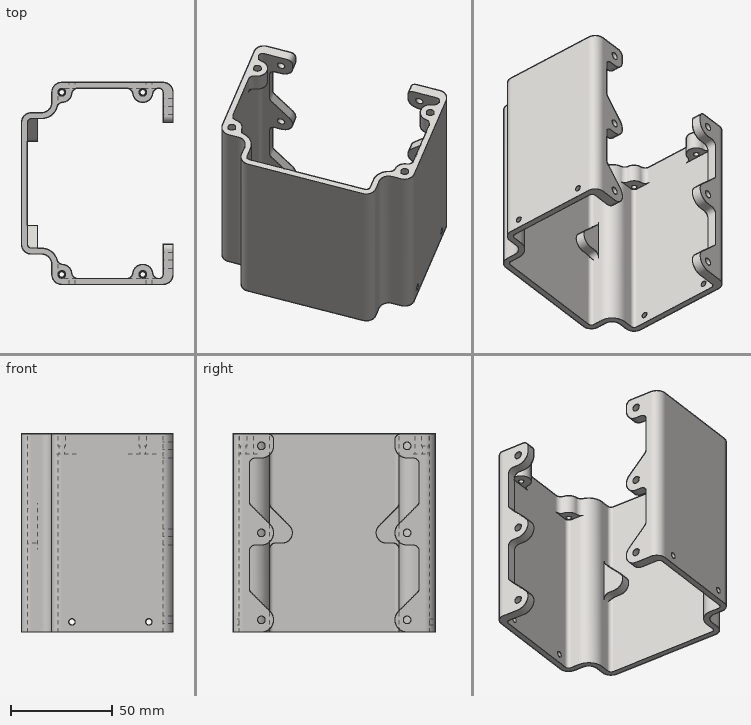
import cadquery as cq
import math

LENGTH = 75.0
HALF_WIDTH = 50.0
HEIGHT = 98.0
WALL = 3.0
STEP = 15.0
OUTER_RADIUS = 5.0
INNER_RADIUS = OUTER_RADIUS - WALL
STEP_INNER_RADIUS = OUTER_RADIUS + WALL
SHOULDER_Y = HALF_WIDTH - STEP
SIDE_INNER_Y = HALF_WIDTH - WALL
SHOULDER_INNER_Y = SHOULDER_Y - WALL

DIAGONAL = math.sqrt(0.5)
BLEND_TANGENT = math.tan(math.pi / 8)

LIP_THICKNESS = 5.0
LIP_INNER_X = LENGTH - LIP_THICKNESS
LIP_EDGE_Y = 42.0

BOSS_RADIUS = 5.0
BOSS_HEIGHT = 10.0
BOSS_BLEND_RADIUS = 3.0
BOSS_Y = HALF_WIDTH - OUTER_RADIUS
CORNER_BOSS_X = STEP + OUTER_RADIUS
WALL_BOSS_X = 60.0
INSERT_DIAMETER = 3.8
INSERT_DEPTH = 6.0
PILOT_DIAMETER = 2.7

TAB_TIP_Y = 30.0
TAB_RADIUS = 6.0
TAB_CORNER_RADIUS = 3.0
TAB_HOLE_DIAMETER = 3.8
TAB_BLEND_RADIUS = 3.0
TAB_HOLE_Y = TAB_TIP_Y + TAB_RADIUS
TOP_TAB_Z = HEIGHT - TAB_RADIUS
MIDDLE_TAB_Z = HEIGHT / 2
BOTTOM_TAB_Z = TAB_RADIUS

PAD_THICKNESS = 5.0
PAD_TIP_Y = 20.7
PAD_RADIUS = 5.0
PAD_BLEND_RADIUS = 3.0
PAD_Z = HEIGHT / 2

SIDE_HOLE_DIAMETER = 3.0
SIDE_HOLE_Z = 5.0
SIDE_HOLE_INSET = 7.0
SIDE_HOLE_XS = (STEP + WALL + SIDE_HOLE_INSET, LIP_INNER_X - SIDE_HOLE_INSET)


def wall_half(bottom_z, height):
    """The +Y half of the shell wall between two heights."""
    r_out = OUTER_RADIUS
    r_in = INNER_RADIUS
    r_step = STEP_INNER_RADIUS
    step_inner_x = STEP + WALL
    return (
        cq.Workplane("XY", origin=(0, 0, bottom_z))
        .moveTo(0, 0)
        .lineTo(0, SHOULDER_Y - r_out)
        .radiusArc((r_out, SHOULDER_Y), r_out)
        .lineTo(STEP - r_out, SHOULDER_Y)
        .radiusArc((STEP, SHOULDER_Y + r_out), -r_out)
        .lineTo(STEP, HALF_WIDTH - r_out)
        .radiusArc((STEP + r_out, HALF_WIDTH), r_out)
        .lineTo(LENGTH - r_out, HALF_WIDTH)
        .radiusArc((LENGTH, HALF_WIDTH - r_out), r_out)
        .lineTo(LENGTH, LIP_EDGE_Y)
        .lineTo(LIP_INNER_X, LIP_EDGE_Y)
        .lineTo(LIP_INNER_X, SIDE_INNER_Y - r_in)
        .radiusArc((LIP_INNER_X - r_in, SIDE_INNER_Y), -r_in)
        .lineTo(step_inner_x + r_in, SIDE_INNER_Y)
        .radiusArc((step_inner_x, SIDE_INNER_Y - r_in), -r_in)
        .lineTo(step_inner_x, SHOULDER_INNER_Y + r_step)
        .radiusArc((step_inner_x - r_step, SHOULDER_INNER_Y), r_step)
        .lineTo(WALL + r_in, SHOULDER_INNER_Y)
        .radiusArc((WALL, SHOULDER_INNER_Y - r_in), -r_in)
        .lineTo(WALL, 0)
        .close()
        .extrude(height)
    )


def rim_with_bosses():
    """Top band of the wall with both bosses blended into it."""
    base_z = HEIGHT - BOSS_HEIGHT
    band = wall_half(base_z, BOSS_HEIGHT)
    for x in (CORNER_BOSS_X, WALL_BOSS_X):
        boss = cq.Workplane("XY", origin=(x, BOSS_Y, base_z)).circle(BOSS_RADIUS).extrude(BOSS_HEIGHT)
        band = band.union(boss)

    reach = math.sqrt(BOSS_RADIUS**2 - (SIDE_INNER_Y - BOSS_Y) ** 2)
    notches = [(x, SIDE_INNER_Y) for x in (CORNER_BOSS_X + reach, WALL_BOSS_X - reach, WALL_BOSS_X + reach)]

    step_x = STEP - OUTER_RADIUS
    step_y = SHOULDER_Y + OUTER_RADIUS
    dx = CORNER_BOSS_X - step_x
    dy = BOSS_Y - step_y
    span = math.hypot(dx, dy)
    along = (span**2 + STEP_INNER_RADIUS**2 - BOSS_RADIUS**2) / (2 * span)
    across = math.sqrt(STEP_INNER_RADIUS**2 - along**2)
    notches.append((step_x + (along * dx + across * dy) / span, step_y + (along * dy - across * dx) / span))

    mid_z = base_z + BOSS_HEIGHT / 2
    for x, y in notches:
        notch_edge = cq.selectors.NearestToPointSelector((x, y, mid_z))
        band = band.edges("|Z").edges(notch_edge).fillet(BOSS_BLEND_RADIUS)
    return band


def sloped_tab(inner_x, thickness, root_y, tip_y, radius, centre_z, blend):
    """Round-nosed tab with a 45 degree upper side, blended into a root face at root_y.

    The lower blend is left out where the tab sits flush with the bottom of the part.
    """
    centre_y = tip_y + radius
    tangent_y = centre_y - radius * DIAGONAL
    tangent_z = centre_z + radius * DIAGONAL
    bottom_z = centre_z - radius
    blend_reach = blend * BLEND_TANGENT
    slope_root_z = tangent_z + root_y - tangent_y
    blend_offset = blend_reach * DIAGONAL
    profile = (
        cq.Workplane("YZ", origin=(inner_x, 0, 0))
        .moveTo(root_y, slope_root_z + blend_reach)
        .radiusArc((root_y - blend_offset, slope_root_z - blend_offset), blend)
        .lineTo(tangent_y, tangent_z)
        .threePointArc((tip_y, centre_z), (centre_y, bottom_z))
    )
    if bottom_z > 0:
        profile = profile.lineTo(root_y - blend, bottom_z).radiusArc((root_y, bottom_z - blend), blend)
    else:
        profile = profile.lineTo(root_y, bottom_z)
    return profile.close().extrude(thickness)


def top_tab():
    """Tab flush with the top rim, with a rounded upper corner and a round lower nose."""
    bottom_z = TOP_TAB_Z - TAB_RADIUS
    nose = TAB_RADIUS * DIAGONAL
    return (
        cq.Workplane("YZ", origin=(LIP_INNER_X, 0, 0))
        .moveTo(LIP_EDGE_Y, HEIGHT)
        .lineTo(TAB_TIP_Y + TAB_CORNER_RADIUS, HEIGHT)
        .radiusArc((TAB_TIP_Y, HEIGHT - TAB_CORNER_RADIUS), -TAB_CORNER_RADIUS)
        .lineTo(TAB_TIP_Y, TOP_TAB_Z)
        .threePointArc((TAB_HOLE_Y - nose, TOP_TAB_Z - nose), (TAB_HOLE_Y, bottom_z))
        .lineTo(LIP_EDGE_Y - TAB_BLEND_RADIUS, bottom_z)
        .radiusArc((LIP_EDGE_Y, bottom_z - TAB_BLEND_RADIUS), TAB_BLEND_RADIUS)
        .close()
        .extrude(LIP_THICKNESS)
    )


def lip_tabs():
    """The three tabs of one lip with their holes along X."""
    tabs = top_tab()
    for z in (MIDDLE_TAB_Z, BOTTOM_TAB_Z):
        tabs = tabs.union(
            sloped_tab(LIP_INNER_X, LIP_THICKNESS, LIP_EDGE_Y, TAB_TIP_Y, TAB_RADIUS, z, TAB_BLEND_RADIUS)
        )
    hole_points = [(TAB_HOLE_Y, z) for z in (TOP_TAB_Z, MIDDLE_TAB_Z, BOTTOM_TAB_Z)]
    holes = (
        cq.Workplane("YZ", origin=(LIP_INNER_X, 0, 0))
        .pushPoints(hole_points)
        .circle(TAB_HOLE_DIAMETER / 2)
        .extrude(LIP_THICKNESS)
    )
    return tabs.cut(holes)


def wall_pad():
    """Pad on the -X wall, rooted on the inside of the shoulder."""
    return sloped_tab(WALL, PAD_THICKNESS, SHOULDER_INNER_Y, PAD_TIP_Y, PAD_RADIUS, PAD_Z, PAD_BLEND_RADIUS)


def boss_holes():
    """Stepped vertical holes: a wide seat from the rim, then a narrower pilot."""
    points = [(x, BOSS_Y) for x in (CORNER_BOSS_X, WALL_BOSS_X)]
    top = cq.Workplane("XY", origin=(0, 0, HEIGHT)).pushPoints(points)
    seats = top.circle(INSERT_DIAMETER / 2).extrude(-INSERT_DEPTH)
    pilots = top.circle(PILOT_DIAMETER / 2).extrude(-BOSS_HEIGHT)
    return seats.union(pilots)


def side_holes():
    """Round holes along Y through the side wall, near its lower edge."""
    return (
        cq.Workplane("XZ", origin=(0, HALF_WIDTH, 0))
        .pushPoints([(x, SIDE_HOLE_Z) for x in SIDE_HOLE_XS])
        .circle(SIDE_HOLE_DIAMETER / 2)
        .extrude(WALL)
    )


half = wall_half(0, HEIGHT - BOSS_HEIGHT).union(rim_with_bosses())
half = half.union(lip_tabs()).union(wall_pad())
half = half.cut(boss_holes()).cut(side_holes())
result = half.union(half.mirror("XZ"))